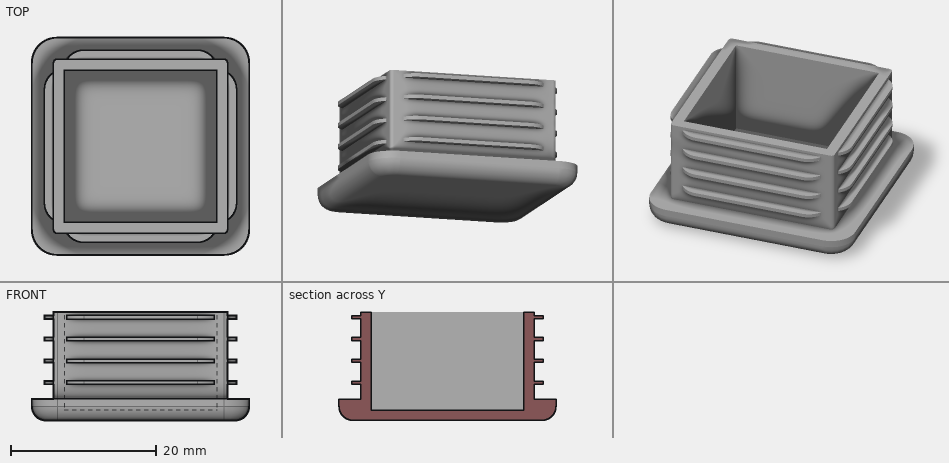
import cadquery as cq
import math

flange_width = 30.0
flange_thickness = 3.0
flange_corner_radius = 3.5
flange_edge_radius = 2.0

total_height = 15.0
plug_width = 24.0
plug_corner_radius = 0.5
wall_thickness = 1.5
floor_thickness = 1.5
cavity_width = plug_width - 2 * wall_thickness
cavity_depth = total_height - floor_thickness

rib_projection = 1.25
rib_thickness = 0.5
rib_end_radius = 2.75
rib_length = 20.3
rib_levels = 4
plug_faces = 4
rib_pitch = 3.0
first_rib_height = 2.0


def make_flange():
    """Rounded square plate with a rounded lower edge."""
    plate = cq.Workplane("XY").rect(flange_width, flange_width).extrude(flange_thickness)
    plate = plate.edges("|Z").fillet(flange_corner_radius)
    return plate.faces("<Z").edges().fillet(flange_edge_radius)


def make_plug():
    """Solid square block standing on the flange."""
    block = (
        cq.Workplane("XY")
        .workplane(offset=flange_thickness)
        .rect(plug_width, plug_width)
        .extrude(total_height - flange_thickness)
    )
    return block.edges("|Z").fillet(plug_corner_radius)


def make_rib(underside):
    """Thin rib on the -Y plug face, with ends curving back into the wall."""
    wall_y = -plug_width / 2
    root_y = wall_y + wall_thickness / 2
    outer_y = wall_y - rib_projection
    half_length = rib_length / 2

    arc_center_y = outer_y + rib_end_radius
    arc_angle = math.acos((arc_center_y - wall_y) / rib_end_radius)
    arc_center_x = half_length - rib_end_radius * math.sin(arc_angle)
    mid_x = arc_center_x + rib_end_radius * math.sin(arc_angle / 2)
    mid_y = arc_center_y - rib_end_radius * math.cos(arc_angle / 2)

    return (
        cq.Workplane("XY")
        .workplane(offset=underside)
        .moveTo(-half_length, root_y)
        .lineTo(-half_length, wall_y)
        .threePointArc((-mid_x, mid_y), (-arc_center_x, outer_y))
        .lineTo(arc_center_x, outer_y)
        .threePointArc((mid_x, mid_y), (half_length, wall_y))
        .lineTo(half_length, root_y)
        .close()
        .extrude(rib_thickness)
    )


def make_cavity():
    """Square pocket open at the top of the plug."""
    return (
        cq.Workplane("XY")
        .workplane(offset=floor_thickness)
        .rect(cavity_width, cavity_width)
        .extrude(cavity_depth)
    )


result = make_flange().union(make_plug())

for level in range(rib_levels):
    rib = make_rib(flange_thickness + first_rib_height + level * rib_pitch)
    for face in range(plug_faces):
        turn = face * 360 / plug_faces
        result = result.union(rib.rotate((0, 0, 0), (0, 0, 1), turn))

result = result.cut(make_cavity())